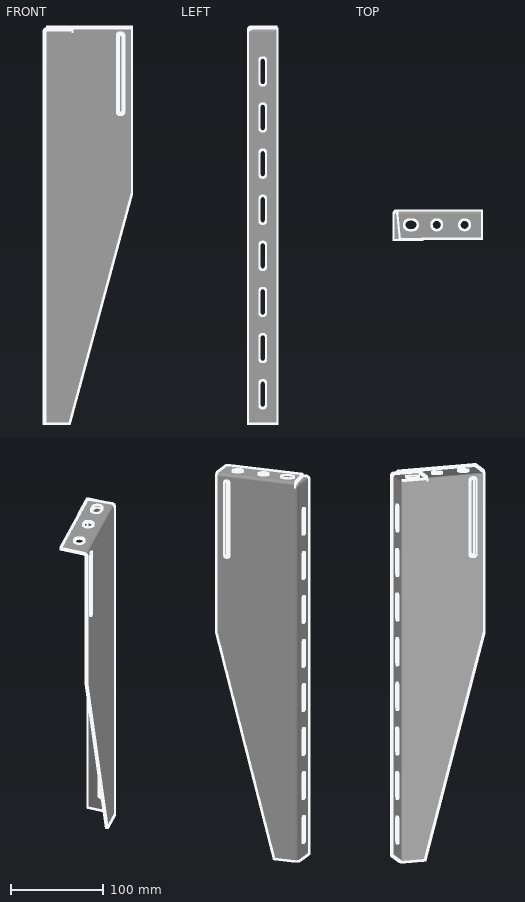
import cadquery as cq

width = 96.0
depth = 32.5
height = 431.0

sheet = 2.0
bend_radius = 4.1
inner_radius = bend_radius - sheet

taper_drop = 181.0
foot_width = 28.5

flange_inset = 1.5
flange_start_back = 4.0
flange_start_front = 7.0
flange_corner_radius = 1.7
tab_length = 31.5

hole_row_offset = 0.5
hole_diameter = 11.0
round_hole_places = [47.0, 77.0]
oval_hole_place = 19.0
oval_hole_length = 14.5

slot_count = 8
slot_pitch = 50.0
slot_length = 30.0
slot_width = 7.0
lowest_slot_height = 32.5

bead_place = 83.5
bead_width = 8.0
bead_length = 89.5
bead_top_drop = 6.5
bead_height = 2.0
bead_draft = 2.0

left = -width / 2
right = width / 2
front = -depth / 2
back = depth / 2
bottom = -height / 2
top = height / 2
tab_top = top - sheet
web_front = back - sheet


def block(x_min, x_max, y_min, y_max, z_min, z_max):
    size = (x_max - x_min, y_max - y_min, z_max - z_min)
    return cq.Workplane("XY").box(*size, centered=False).translate((x_min, y_min, z_min))


def make_folded_body():
    """Web and side flange, with the tab folded over at the upper end."""
    outer = block(left, right, front, back, bottom, tab_top)
    outer = outer.edges("<X and >Y").fillet(bend_radius)
    outer = outer.edges("<X and >Z").edges("|Y").fillet(bend_radius)
    inner = block(left + sheet, right + sheet, front - sheet, web_front, bottom - sheet, tab_top - sheet)
    inner = inner.edges("<X and >Y").fillet(inner_radius)
    inner = inner.edges("<X and >Z").edges("|Y").fillet(inner_radius)
    beyond_tab = block(left + tab_length, right + sheet, front - sheet, web_front, bottom, top)
    return outer.cut(inner).cut(beyond_tab)


def make_top_flange():
    """Flange folded forward from the web, lying on the tab."""
    flange_front = front + flange_inset
    web_end = tab_top - bend_radius
    section = (
        cq.Workplane("YZ", origin=(left, 0, 0))
        .moveTo(flange_front, top)
        .lineTo(back - bend_radius, top)
        .radiusArc((back, top - bend_radius), bend_radius)
        .lineTo(back, web_end)
        .lineTo(web_front, web_end)
        .lineTo(web_front, top - bend_radius)
        .radiusArc((back - bend_radius, tab_top), -inner_radius)
        .lineTo(flange_front, tab_top)
        .close()
        .extrude(width)
    )
    plan = (
        cq.Workplane("XY", origin=(0, 0, web_end))
        .polyline([
            (left + flange_start_back, back),
            (right, back),
            (right, flange_front),
            (left + flange_start_front, flange_front),
        ])
        .close()
        .extrude(top - web_end)
        .faces("<Y")
        .edges("<X")
        .fillet(flange_corner_radius)
    )
    return section.intersect(plan)


def remove_upper_web_edge(body):
    """Clear the square web end so that the rounded flange fold replaces it."""
    fold_space = block(
        left + flange_start_back, right, back - bend_radius, back, top - bend_radius, top
    )
    return body.cut(fold_space)


def cut_web_taper(body):
    corner = (
        cq.Workplane("XZ", origin=(0, back, 0))
        .polyline([(left + foot_width, bottom), (right, bottom), (right, top - taper_drop)])
        .close()
        .extrude(depth)
    )
    return body.cut(corner)


def cut_top_holes(body):
    cut_depth = 3 * sheet
    plane = cq.Workplane("XY", origin=(left, 0, top))
    centres = [(x, hole_row_offset) for x in round_hole_places]
    rounds = plane.pushPoints(centres).circle(hole_diameter / 2).extrude(-cut_depth)
    oval_plane = cq.Workplane("XY", origin=(left + oval_hole_place, hole_row_offset, top))
    oval = oval_plane.slot2D(oval_hole_length, hole_diameter).extrude(-cut_depth)
    return body.cut(rounds).cut(oval)


def cut_side_slots(body):
    centres = [(0, bottom + lowest_slot_height + i * slot_pitch) for i in range(slot_count)]
    slots = (
        cq.Workplane("YZ", origin=(left, 0, 0))
        .pushPoints(centres)
        .slot2D(slot_length, slot_width, 90)
        .extrude(2 * sheet)
    )
    return body.cut(slots)


def bead_solid(base_y, inset):
    """Tapered obround rising forward from base_y."""
    centre_z = top - bead_top_drop - bead_length / 2
    length = bead_length - 2 * inset
    base_width = bead_width - 2 * inset
    crest_reduction = 2 * bead_draft
    return (
        cq.Workplane("XZ", origin=(left + bead_place, base_y, centre_z))
        .slot2D(length, base_width, 90)
        .workplane(offset=bead_height)
        .slot2D(length - crest_reduction, base_width - crest_reduction, 90)
        .loft(ruled=True)
    )


def add_bead(body):
    wall_inset = sheet / 2
    return body.union(bead_solid(web_front, 0)).cut(bead_solid(back, wall_inset))


body = make_folded_body()
body = remove_upper_web_edge(body)
body = body.union(make_top_flange())
body = cut_web_taper(body)
body = cut_top_holes(body)
body = cut_side_slots(body)
result = add_bead(body)